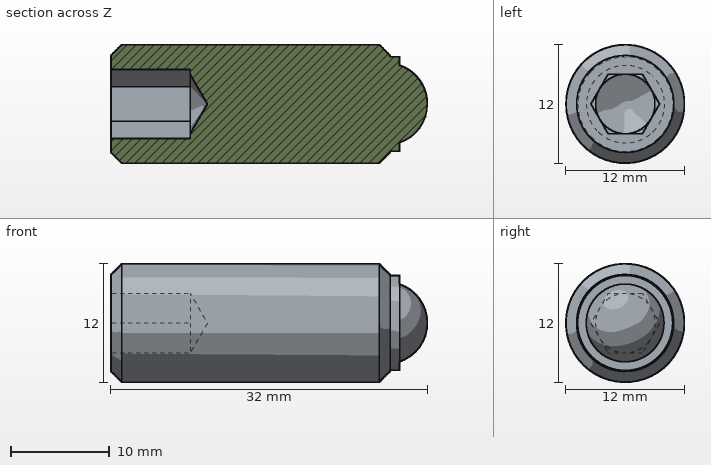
import cadquery as cq
import math

overall_length = 32.0
body_diameter = 12.0
body_length = 28.22
end_chamfer = 1.1

collar_diameter = 9.6
collar_end = 29.2
ball_radius = 4.15

socket_across_flats = 6.0
socket_depth = 8.0
drill_point_angle = 120.0


def make_screw():
    """Revolve the half outline of body, collar and ball about the X axis."""
    body_radius = body_diameter / 2
    end_radius = body_radius - end_chamfer
    collar_radius = collar_diameter / 2
    ball_center = overall_length - ball_radius

    ball_exit_radius = math.sqrt(ball_radius**2 - (collar_end - ball_center) ** 2)
    half_exit_angle = math.atan2(ball_exit_radius, collar_end - ball_center) / 2
    ball_middle = (
        ball_center + ball_radius * math.cos(half_exit_angle),
        ball_radius * math.sin(half_exit_angle),
    )

    outline = (
        cq.Workplane("XY")
        .moveTo(0, 0)
        .lineTo(0, end_radius)
        .lineTo(end_chamfer, body_radius)
        .lineTo(body_length - end_chamfer, body_radius)
        .lineTo(body_length, end_radius)
        .lineTo(body_length, collar_radius)
        .lineTo(collar_end, collar_radius)
        .lineTo(collar_end, ball_exit_radius)
        .threePointArc(ball_middle, (overall_length, 0))
        .close()
    )
    return outline.revolve(360, (0, 0, 0), (1, 0, 0))


def make_socket():
    across_corners = socket_across_flats / math.cos(math.pi / 6)
    hexagon = cq.Workplane("YZ").polygon(6, across_corners).extrude(socket_depth)
    drill_radius = socket_across_flats / 2
    point_depth = drill_radius / math.tan(math.radians(drill_point_angle / 2))
    drill_point = cq.Workplane("XY").add(
        cq.Solid.makeCone(
            drill_radius, 0, point_depth, cq.Vector(socket_depth, 0, 0), cq.Vector(1, 0, 0)
        )
    )
    return hexagon.union(drill_point)


result = make_screw().cut(make_socket())